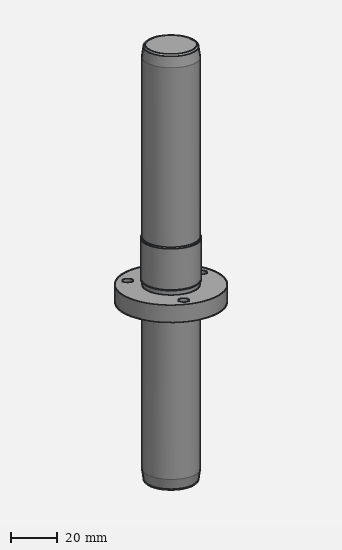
import cadquery as cq

length = 200.0
flange_bottom = 82.0
flange_thickness = 8.0
neck_height = 2.0
collar_length = 20.0
lower_groove_height = 1.2

shaft_radius = 12.5
collar_radius = 13.0
flange_radius = 24.0
upper_neck_radius = 12.5
lower_groove_radius = 11.8

lead_length = 5.5
lead_radius = 11.8
end_break_height = 0.8
end_face_radius = 11.0

edge_bevel = 0.5

hole_count = 3
hole_diameter = 4.5
hole_circle_radius = 19.0

flange_top = flange_bottom + flange_thickness
collar_bottom = flange_top + neck_height
collar_top = collar_bottom + collar_length
lower_shaft_top = flange_bottom - lower_groove_height


def revolved_body():
    """Revolve the stepped half profile (radius, height) about Z."""
    profile = [
        (0, 0),
        (end_face_radius, 0),
        (lead_radius, end_break_height),
        (shaft_radius, lead_length),
        (shaft_radius, lower_shaft_top - edge_bevel),
        (lower_groove_radius, lower_shaft_top),
        (lower_groove_radius, flange_bottom),
        (flange_radius, flange_bottom),
        (flange_radius, flange_top),
        (upper_neck_radius, flange_top),
        (upper_neck_radius, collar_bottom),
        (collar_radius, collar_bottom + edge_bevel),
        (collar_radius, collar_top - edge_bevel),
        (shaft_radius, collar_top),
        (shaft_radius, length - lead_length),
        (lead_radius, length - end_break_height),
        (end_face_radius, length),
        (0, length),
    ]
    return cq.Workplane("XZ").polyline(profile).close().revolve(360, (0, 0), (0, 1))


def flange_holes():
    """Cylinders that pierce the flange, the first one on +X."""
    return (
        cq.Workplane("XY")
        .workplane(offset=flange_bottom)
        .polarArray(hole_circle_radius, 0, 360, hole_count)
        .circle(hole_diameter / 2)
        .extrude(flange_thickness)
    )


result = revolved_body().cut(flange_holes())